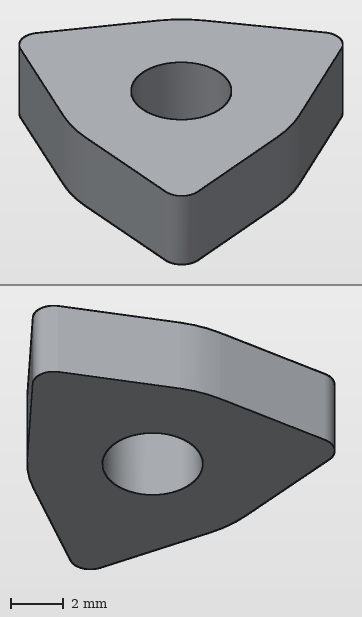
import cadquery as cq
import math

inscribed_radius = 9.525 / 2
thickness = 3.18
hole_diameter = 3.81
corner_radius = 0.8
corner_angle = 80.0

corner_count = 3
corner_spacing = 360.0 / corner_count
first_corner_direction = -140.0

flank_normal_offset = (180.0 - corner_angle) / 2
corner_center_distance = (inscribed_radius - corner_radius) / math.cos(math.radians(flank_normal_offset))


def polar(radius, direction, center=(0.0, 0.0)):
    """Point at a radius and a direction in degrees from a center."""
    angle = math.radians(direction)
    return (center[0] + radius * math.cos(angle), center[1] + radius * math.sin(angle))


def add_corner(outline, direction):
    """Add a flank, the rounded nose, the other flank and the arc to the next corner."""
    nose_center = polar(corner_center_distance, direction)
    first_normal = direction - flank_normal_offset
    second_normal = direction + flank_normal_offset
    next_corner_normal = first_normal + corner_spacing
    arc_middle = (second_normal + next_corner_normal) / 2

    outline = outline.lineTo(*polar(corner_radius, first_normal, nose_center))
    outline = outline.threePointArc(
        polar(corner_radius, direction, nose_center),
        polar(corner_radius, second_normal, nose_center),
    )
    outline = outline.lineTo(*polar(inscribed_radius, second_normal))
    return outline.threePointArc(
        polar(inscribed_radius, arc_middle),
        polar(inscribed_radius, next_corner_normal),
    )


def make_body():
    """Prism with the trigon outline."""
    start_normal = first_corner_direction - flank_normal_offset
    outline = cq.Workplane("XY").moveTo(*polar(inscribed_radius, start_normal))
    for index in range(corner_count):
        outline = add_corner(outline, first_corner_direction + index * corner_spacing)
    return outline.close().extrude(thickness)


def make_hole():
    """Central clamping hole through the full thickness."""
    return cq.Workplane("XY").circle(hole_diameter / 2).extrude(thickness)


result = make_body().cut(make_hole())